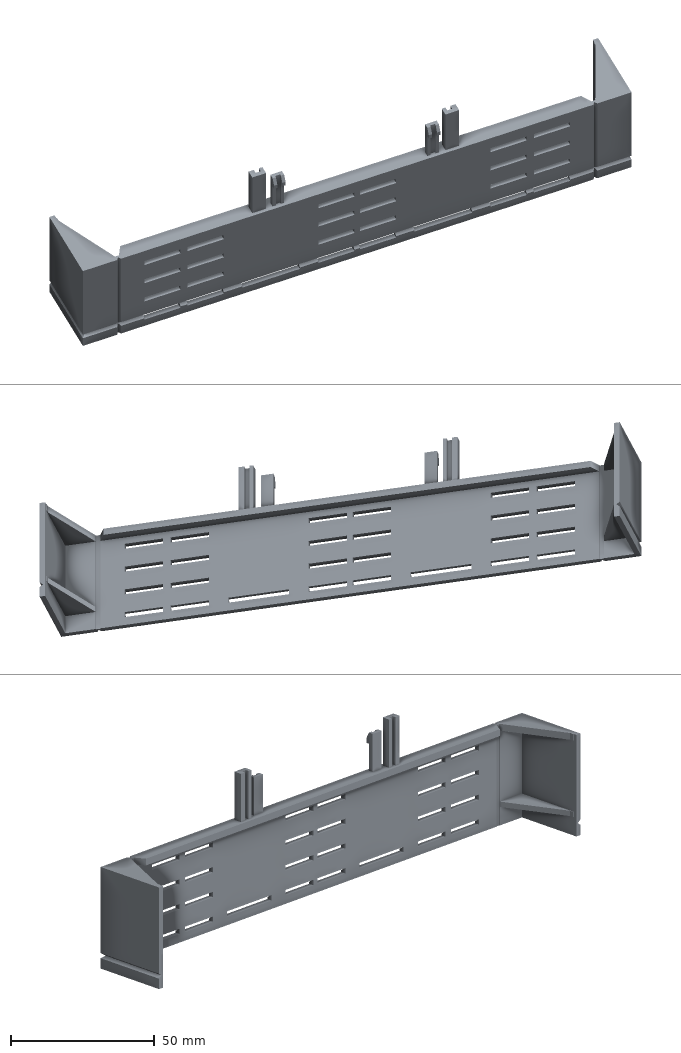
import cadquery as cq
import math

length = 209.5
depth = 28.5
wall_height = 38.0
wall = 2.0
half_length = length / 2

fold_near = 13.0
fold_far = 14.7
fold_recess = 0.2
back_notch_width = 1.5
back_notch_depth = 1.0

flange_width = 5.7
flange_thickness = 2.5
flange_end_angle = 30.0
rib_angle = 24.5
rib_tip_x = 1.5
rib_tip_height = 0.2
low_rib_bottom = 7.0
low_rib_thickness = 2.0

groove_height = 4.8
groove_width = 1.9
groove_depth = 1.3

slot_height = 2.0
bottom_slot_z = 4.2
slot_pitch_z = 9.2
slot_rows = 4
short_slot_length = 13.8
long_slot_length = 22.0
short_slot_centers = (8.0, 57.8, 74.4)
long_slot_center = 32.9

guide_center_y = 36.9
guide_width = 5.2
guide_height = 18.0
guide_front = 24.0
post_back = 27.2
clip_center_y = 29.5
clip_width = 4.5
clip_height = 14.2
clip_front = 25.3
channel_width = 1.9
guide_channel_depth = 1.57
guide_channel_offset = 0.31
clip_channel_depth = 1.3

hook_bottom = 48.0
hook_shoulder = 49.7

panel_front = depth - wall


def box(x_range, y_range, z_range):
    """Axis-aligned block given by its limits along X, Y and Z."""
    size = [high - low for low, high in (x_range, y_range, z_range)]
    corner = (x_range[0], y_range[0], z_range[0])
    return cq.Workplane("XY").box(*size, centered=False).translate(corner)


def both_ends(shape):
    """The shape together with its mirror image across the middle of the length."""
    return shape.union(shape.mirror("XZ"))


def plate(outline, bottom, thickness):
    """Horizontal plate with the given XY outline."""
    return cq.Workplane("XY").workplane(offset=bottom).polyline(outline).close().extrude(thickness)


def walls():
    back = box((panel_front, depth), (-half_length, half_length), (0, wall_height))
    end = box((0, depth), (half_length - wall, half_length), (0, wall_height))
    return back.union(both_ends(end))


def flange():
    front = depth - flange_width
    root_y = half_length - fold_far
    tip_y = root_y - (panel_front - front) * math.tan(math.radians(flange_end_angle))
    outline = [(depth, -root_y), (panel_front, -root_y), (front, -tip_y),
               (front, tip_y), (panel_front, root_y), (depth, root_y)]
    return plate(outline, wall_height - flange_thickness, flange_thickness)


def end_ribs():
    root_y = half_length - fold_near
    tip_y = half_length - wall - rib_tip_height
    slope_x = panel_front - (tip_y - root_y) / math.tan(math.radians(rib_angle))
    outline = [(rib_tip_x, tip_y), (slope_x, tip_y), (panel_front, root_y), (depth, root_y),
               (depth, half_length), (rib_tip_x, half_length)]
    top = plate(outline, wall_height - flange_thickness, flange_thickness)
    low = plate(outline, low_rib_bottom, low_rib_thickness)
    return both_ends(top.union(low))


def fold_cuts():
    near_y = half_length - fold_near
    far_y = half_length - fold_far
    strip = box((panel_front, panel_front + fold_recess), (far_y, near_y), (0, wall_height))
    middle_y = (near_y + far_y) / 2
    notch = plate([(depth, middle_y - back_notch_width / 2),
                   (depth - back_notch_depth, middle_y),
                   (depth, middle_y + back_notch_width / 2)], 0, wall_height)
    return both_ends(strip.union(notch))


def groove():
    low = groove_height - groove_width / 2
    high = groove_height + groove_width / 2
    back = (cq.Workplane("XZ")
            .polyline([(depth, low), (depth - groove_depth, groove_height), (depth, high)]).close()
            .extrude(half_length, both=True))
    end = (cq.Workplane("YZ")
           .polyline([(half_length, low), (half_length - groove_depth, groove_height),
                      (half_length, high)]).close()
           .extrude(depth))
    return back.union(both_ends(end))


def slot(center_y, center_z, slot_length):
    return box((panel_front, depth),
               (center_y - slot_length / 2, center_y + slot_length / 2),
               (center_z - slot_height / 2, center_z + slot_height / 2))


def slots():
    cut = slot(long_slot_center, bottom_slot_z, long_slot_length)
    for row in range(slot_rows):
        for center_y in short_slot_centers:
            cut = cut.union(slot(center_y, bottom_slot_z + row * slot_pitch_z, short_slot_length))
    return both_ends(cut)


def y_span(center, width):
    return (center - width / 2, center + width / 2)


def guide_posts():
    """Tall posts with a channel open toward the front."""
    z_range = (wall_height, wall_height + guide_height)
    post = box((guide_front, post_back), y_span(guide_center_y, guide_width), z_range)
    channel = box((guide_front, guide_front + guide_channel_depth),
                  y_span(guide_center_y - guide_channel_offset, channel_width), z_range)
    return both_ends(post.cut(channel))


def clip_posts():
    """Short posts with a channel open toward the back and a hook on each channel leg."""
    top = wall_height + clip_height
    outline = [(clip_front, wall_height), (clip_front, top), (post_back, top),
               (depth, hook_shoulder), (depth, hook_bottom), (post_back, hook_bottom),
               (post_back, wall_height)]
    post = (cq.Workplane("XZ").polyline(outline).close()
            .extrude(clip_width / 2, both=True).translate((0, clip_center_y, 0)))
    channel = box((clip_front + clip_channel_depth, depth),
                  y_span(clip_center_y, channel_width), (wall_height, top))
    return both_ends(post.cut(channel))


frame = walls().union(flange()).union(end_ribs())
frame = frame.cut(fold_cuts()).cut(groove()).cut(slots())
result = frame.union(guide_posts()).union(clip_posts())